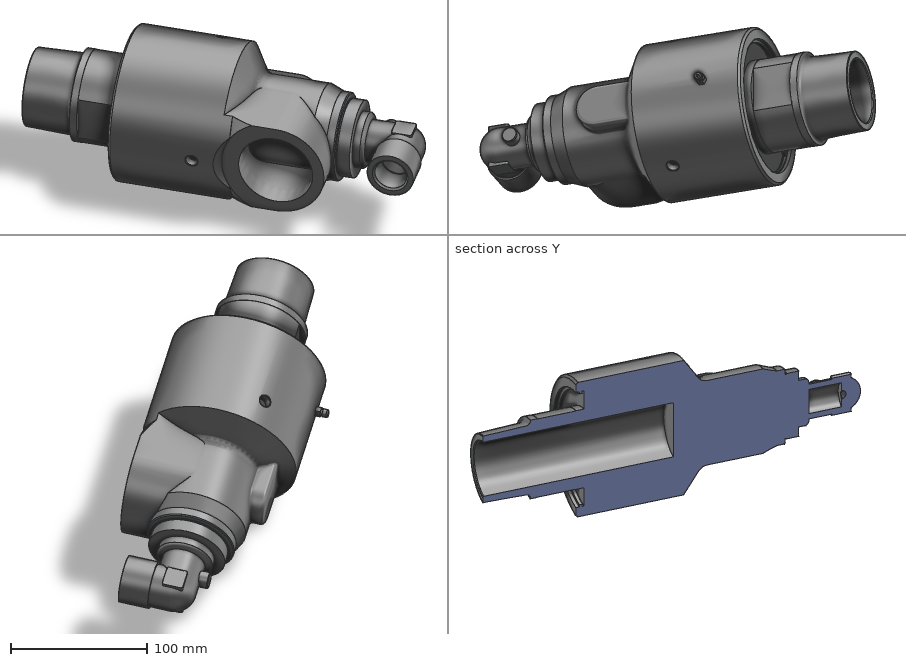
import cadquery as cq
import math


thread_start_dia = 59.0
thread_end_dia = 61.2
thread_length = 34.5
thread_edge_chamfer = 0.5
collar_dia = 69.5
shaft_dia = 69.1
shaft_relief_end = 37.5
shaft_relief_dia = 68.0
collar_end = 43.0
flat_distance = 30.0
flat_end = 73.3
shaft_bore_dia = 47.6
shaft_bore_chamfer = 0.8
shaft_bore_depth = 150.0

drum_dia = 117.5
drum_start = 73.25
drum_end = 158.3
drum_chamfer = 1.7
recess_dia = 100.08
recess_floor = 79.6

neck_dia = 74.4
cone_end = 172.6
cone_fillet = 7.0
neck_end = 220.7
rim_dia = 66.0
rim_start = 231.5
rim_end = 238.3
rim_chamfer = 0.8
plug_dia = 58.0
plug_start = 239.4
plug_relief_dia = 57.0
plug_end = 249.0
gland_dia = 42.0
gland_round_start = 254.5
gland_end = 257.0

ring_start = 76.0
ring_thickness = 2.5
ring_opening_dia = 96.6
ring_offset = 1.3
ear_dia = 9.6
ear_hole_dia = 3.12
ear_y = -45.7
ear_z = 15.6
ring_gap = 2 * ear_z

vent_dia = 8.6
vent_mouth_dia = 10.0
vent_depth = 7.0
vent_count = 3
vent_x = 137.0

port_x = 199.6
port_face = 53.6
port_bore_dia = 55.17
port_taper = 1 / 16
port_thread_depth = 18.6
core_dia = 55.17
boss_dia = 73.4
boss_shoulder_end = 164.8
boss_face_dia = 82.0
boss_bevel_dia = 103.4
boss_bevel_depth = 8.5
spotface_flare = 8.0

pad_height = 46.6
pad_width = 32.6
pad_start = 150.0
pad_end_center = 190.8
pad_round = 3.0
pad_foot_fillet = 2.5

nipple_x = 102.9
nipple_tip = 68.16
nipple_root_sink = 1.0
nipple_hex_flats = 6.8
nipple_hex_end = 62.5
nipple_head_dia = 6.0
nipple_neck_dia = 5.0
nipple_neck_end = 64.0
nipple_head_end = 67.0
nipple_tip_dia = 4.6
nipple_hole_dia = 2.0
nipple_hole_depth = 3.0

elbow_x = 282.5
elbow_dia = 32.0
elbow_bore_dia = 22.63
drill_tip_angle = 118.0
socket_dia = 35.0
socket_start = 16.0
socket_end = 38.2
socket_bore_dia = 24.1
socket_mouth_dia = 27.05
socket_bore_end = 19.0
pad_side = 15.5
pad_span = 32.6
pad_corner = 1.5
plug_boss_x = 268.1
plug_boss_dia = 12.0
plug_boss_root = 8.0
plug_boss_top = 22.4
plug_boss_chamfer = 0.7


def x_cylinder(dia, x_start, x_end):
    """Cylinder on the main axis."""
    return cq.Workplane("YZ").workplane(offset=x_start).circle(dia / 2).extrude(x_end - x_start)


def y_cylinder(dia, x, y_start, y_end):
    """Cylinder along Y, centred on z = 0 at the given x."""
    length = abs(y_end - y_start)
    base = cq.Workplane("XZ", origin=(x, max(y_start, y_end), 0))
    return base.circle(dia / 2).extrude(length)


def y_cone(x, y_start, dia_start, y_end, dia_end):
    """Cone along Y, centred on z = 0 at the given x."""
    direction = cq.Vector(0, math.copysign(1, y_end - y_start), 0)
    base = cq.Vector(x, y_start, 0)
    cone = cq.Solid.makeCone(dia_start / 2, dia_end / 2, abs(y_end - y_start), base, direction)
    return cq.Workplane("XY").newObject([cone])


def box_between(x_range, y_range, z_range):
    """Axis-aligned box given by its limits."""
    sizes = [high - low for low, high in (x_range, y_range, z_range)]
    corner = (x_range[0], y_range[0], z_range[0])
    return cq.Workplane("XY").box(*sizes, centered=False).translate(corner)


def make_elbow_corner():
    """Quarter sphere that closes the outside of the elbow between its two legs."""
    radius = elbow_dia / 2
    half_disc = cq.Workplane("XZ").moveTo(0, -radius).threePointArc((radius, 0), (0, radius)).close()
    return half_disc.revolve(90, (0, 0, 0), (0, 1, 0)).translate((elbow_x, 0, 0))


def make_shaft():
    """Tapered pipe thread, collar and wrench flats."""
    relief_drop = (shaft_relief_dia - thread_end_dia) / 2
    relief_run = shaft_relief_end - thread_length
    relief_mid = (
        thread_length + relief_run * math.sin(math.pi / 4),
        thread_end_dia / 2 + relief_drop * (1 - math.cos(math.pi / 4)),
    )
    profile = (
        cq.Workplane("XY")
        .lineTo(0, thread_start_dia / 2 - thread_edge_chamfer)
        .lineTo(thread_edge_chamfer, thread_start_dia / 2)
        .lineTo(thread_length, thread_end_dia / 2)
        .threePointArc(relief_mid, (shaft_relief_end, shaft_relief_dia / 2))
        .lineTo(shaft_relief_end, collar_dia / 2)
        .lineTo(collar_end, collar_dia / 2)
        .lineTo(collar_end, shaft_dia / 2)
        .lineTo(flat_end, shaft_dia / 2)
        .lineTo(flat_end, collar_dia / 2)
        .lineTo(drum_end, collar_dia / 2)
        .lineTo(drum_end, 0)
        .close()
    )
    shaft = profile.revolve(360, (0, 0, 0), (1, 0, 0))
    for side in (-1, 1):
        near = side * flat_distance
        far = side * shaft_dia
        y_range = (min(near, far), max(near, far))
        shaft = shaft.cut(box_between((collar_end, flat_end), y_range, (-shaft_dia, shaft_dia)))
    return shaft


def make_housing():
    """Drum, neck, rim, plug and gland turned about the main axis."""
    gland_run = gland_end - gland_round_start
    gland_drop = (gland_dia - elbow_dia) / 2
    gland_mid = (
        gland_round_start + gland_run * math.sin(math.pi / 4),
        gland_dia / 2 - gland_drop * (1 - math.cos(math.pi / 4)),
    )
    front = (
        cq.Workplane("XY")
        .moveTo(drum_start, 0)
        .lineTo(drum_start, drum_dia / 2 - drum_chamfer)
        .lineTo(drum_start + drum_chamfer, drum_dia / 2)
        .lineTo(drum_end, drum_dia / 2)
        .lineTo(cone_end, neck_dia / 2)
        .lineTo(neck_end, neck_dia / 2)
        .lineTo(rim_start, rim_dia / 2)
        .lineTo(rim_end - rim_chamfer, rim_dia / 2)
        .lineTo(rim_end, rim_dia / 2 - rim_chamfer)
        .lineTo(rim_end, 0)
        .close()
        .revolve(360, (0, 0, 0), (1, 0, 0))
    )
    cone_foot = cq.selectors.BoxSelector(
        (cone_end - 1, -drum_dia, -drum_dia), (cone_end + 1, drum_dia, drum_dia)
    )
    front = front.edges(cone_foot).fillet(cone_fillet)
    rear = (
        cq.Workplane("XY")
        .moveTo(neck_end, 0)
        .lineTo(neck_end, plug_relief_dia / 2)
        .lineTo(plug_start, plug_relief_dia / 2)
        .lineTo(plug_start, plug_dia / 2)
        .lineTo(plug_end, plug_dia / 2)
        .lineTo(plug_end, gland_dia / 2)
        .lineTo(gland_round_start, gland_dia / 2)
        .threePointArc(gland_mid, (gland_end, elbow_dia / 2))
        .lineTo(gland_end, 0)
        .close()
        .revolve(360, (0, 0, 0), (1, 0, 0))
    )
    recess = x_cylinder(recess_dia, drum_start, recess_floor)
    return front.cut(recess).union(rear)


def make_port_boss():
    """Flat-sided boss: a half round towards the elbow, a bevelled block towards the drum."""
    slab_z = (-boss_dia / 2, boss_dia / 2)
    round_half = y_cylinder(boss_dia, port_x, -port_face, 0)
    bevel_end = boss_bevel_depth - port_face
    block = y_cone(port_x, -port_face, boss_face_dia, bevel_end, boss_bevel_dia)
    block = block.union(y_cylinder(boss_bevel_dia, port_x, bevel_end, 0))
    block = block.intersect(box_between((boss_shoulder_end, port_x), (-port_face, 0), slab_z))
    shoulder = x_cylinder(drum_dia, drum_end, boss_shoulder_end)
    shoulder = shoulder.intersect(box_between((drum_end, boss_shoulder_end), (-drum_dia, 0), slab_z))
    return round_half.union(block).union(shoulder)


def make_spotface():
    """Flared cut that clears the drum in front of the port face."""
    flare_dia = boss_face_dia + 2 * spotface_flare
    return y_cone(port_x, -port_face, boss_face_dia, -port_face - spotface_flare, flare_dia)


def make_port_bore():
    """Tapered thread bore that ends on the cylindrical core around the main axis."""
    thread_end = port_thread_depth - port_face
    mouth_dia = port_bore_dia + port_thread_depth * port_taper
    bore = y_cone(port_x, -port_face, mouth_dia, thread_end, port_bore_dia)
    bore = bore.union(y_cylinder(port_bore_dia, port_x, thread_end, 0))
    return bore.cut(x_cylinder(core_dia, drum_end, rim_end))


def add_pad(solid):
    """Round-ended pad on the +Y side of the neck, rounded on top and blended at its foot."""
    half_width = pad_width / 2
    pad = box_between((pad_start, pad_end_center), (0, pad_height), (-half_width, half_width))
    pad = pad.union(y_cylinder(pad_width, pad_end_center, 0, pad_height))
    pad = pad.faces(">Y").edges().fillet(pad_round)
    neck_radius = neck_dia / 2
    foot_low = math.sqrt(neck_radius**2 - half_width**2) - pad_foot_fillet
    foot = cq.selectors.BoxSelector(
        (cone_end, foot_low, -pad_width), (neck_end, neck_radius, pad_width)
    )
    return solid.union(pad).edges(foot).fillet(pad_foot_fillet)


def make_retaining_ring():
    """Internal retaining ring with two eared ends."""
    plane = cq.Workplane("YZ", origin=(ring_start, 0, 0))
    ring = plane.circle(recess_dia / 2).extrude(ring_thickness)
    opening = plane.center(-ring_offset, 0).circle(ring_opening_dia / 2).extrude(ring_thickness)
    gap = plane.center(-recess_dia / 2, 0).rect(recess_dia / 2, ring_gap).extrude(ring_thickness)
    ears = plane.pushPoints([(ear_y, ear_z), (ear_y, -ear_z)])
    ring = ring.cut(opening).cut(gap).union(ears.circle(ear_dia / 2).extrude(ring_thickness))
    ring = ring.cut(ears.circle(ear_hole_dia / 2).extrude(ring_thickness))
    seat = x_cylinder(recess_dia, ring_start, ring_start + ring_thickness)
    return ring.intersect(seat)


def cut_vents(solid):
    """Blind holes evenly spaced around the drum, the first one facing -Y."""
    drum_radius = drum_dia / 2
    mouth_depth = (vent_mouth_dia - vent_dia) / 2
    vent = y_cylinder(vent_dia, vent_x, -drum_radius, vent_depth - drum_radius)
    mouth = y_cone(vent_x, -drum_radius, vent_mouth_dia, mouth_depth - drum_radius, vent_dia)
    vent = vent.union(mouth)
    for index in range(vent_count):
        solid = solid.cut(vent.rotate((0, 0, 0), (1, 0, 0), index * 360 / vent_count))
    return solid


def make_nipple():
    """Grease nipple with a hexagon foot and a grooved head, pointing to +Y."""
    root = drum_dia / 2 - nipple_root_sink
    hex_corners = nipple_hex_flats / math.cos(math.pi / 6)
    foot = (
        cq.Workplane("XZ", origin=(nipple_x, nipple_hex_end, 0))
        .polygon(6, hex_corners)
        .extrude(nipple_hex_end - root)
    )
    neck = y_cylinder(nipple_neck_dia, nipple_x, nipple_hex_end, nipple_neck_end)
    head = y_cylinder(nipple_head_dia, nipple_x, nipple_neck_end, nipple_head_end)
    tip = y_cone(nipple_x, nipple_head_end, nipple_head_dia, nipple_tip, nipple_tip_dia)
    hole = y_cylinder(nipple_hole_dia, nipple_x, nipple_tip - nipple_hole_depth, nipple_tip)
    return foot.union(neck).union(head).union(tip).cut(hole)


def make_elbow():
    """Elbow turning from the main axis to -Y, with a socket, square pads and a plug boss."""
    inlet = x_cylinder(elbow_dia, plug_end, elbow_x)
    corner = make_elbow_corner()
    outlet = y_cylinder(elbow_dia, elbow_x, -socket_start, 0)
    socket = y_cylinder(socket_dia, elbow_x, -socket_end, -socket_start)
    pads = cq.Workplane("XY").box(pad_side, pad_side, pad_span).edges("|Z").fillet(pad_corner)
    pads = pads.translate((elbow_x, 0, 0))
    boss = y_cylinder(plug_boss_dia, plug_boss_x, plug_boss_root, plug_boss_top)
    boss = boss.faces(">Y").chamfer(plug_boss_chamfer)
    return outlet.union(inlet).union(corner).union(pads).union(socket).union(boss)


def make_elbow_bore():
    """Passage through the elbow, with a stepped and chamfered socket mouth."""
    mouth_depth = (socket_mouth_dia - socket_bore_dia) / 2
    mouth = y_cone(elbow_x, -socket_end, socket_mouth_dia, mouth_depth - socket_end, socket_bore_dia)
    socket_bore = y_cylinder(socket_bore_dia, elbow_x, -socket_end, -socket_bore_end)
    outlet = y_cylinder(elbow_bore_dia, elbow_x, -socket_end, 0)
    tip_length = elbow_bore_dia / 2 / math.tan(math.radians(drill_tip_angle / 2))
    tip = y_cone(elbow_x, 0, elbow_bore_dia, tip_length, 0)
    inlet = x_cylinder(elbow_bore_dia, gland_end, elbow_x)
    return outlet.union(tip).union(inlet).union(socket_bore).union(mouth)


def make_shaft_bore():
    """Blind bore from the threaded end, chamfered at its mouth."""
    bore = x_cylinder(shaft_bore_dia, 0, shaft_bore_depth)
    mouth = cq.Workplane("YZ").circle(shaft_bore_dia / 2 + shaft_bore_chamfer)
    mouth = mouth.workplane(offset=shaft_bore_chamfer).circle(shaft_bore_dia / 2).loft()
    return bore.union(mouth)


housing = add_pad(make_housing()).union(make_port_boss())
housing = cut_vents(housing.cut(make_spotface()).cut(make_port_bore()))
elbow = make_elbow().cut(make_elbow_bore())
result = housing.union(make_retaining_ring()).union(make_shaft())
result = result.union(make_nipple()).union(elbow)
result = result.cut(make_shaft_bore())